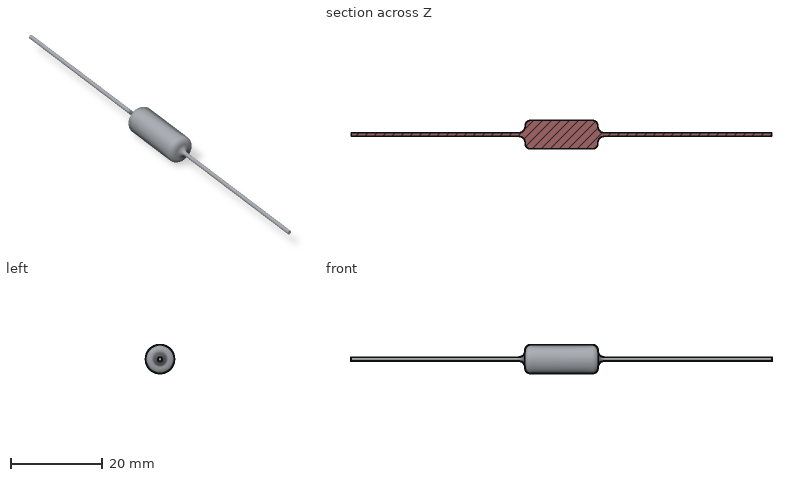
import cadquery as cq

overall_length = 92.1
body_length = 16.0
body_diameter = 6.35
lead_diameter = 0.9
body_edge_radius = 1.3
collar_radius = 1.3

half_length = overall_length / 2
half_body = body_length / 2
body_radius = body_diameter / 2
lead_radius = lead_diameter / 2
collar_end = half_body + collar_radius
flare_radius = lead_radius + collar_radius

profile = (
    cq.Workplane("XZ")
    .moveTo(-half_length, 0)
    .lineTo(-half_length, lead_radius)
    .lineTo(-collar_end, lead_radius)
    .radiusArc((-half_body, flare_radius), -collar_radius)
    .lineTo(-half_body, body_radius - body_edge_radius)
    .radiusArc((-half_body + body_edge_radius, body_radius), body_edge_radius)
    .lineTo(half_body - body_edge_radius, body_radius)
    .radiusArc((half_body, body_radius - body_edge_radius), body_edge_radius)
    .lineTo(half_body, flare_radius)
    .radiusArc((collar_end, lead_radius), -collar_radius)
    .lineTo(half_length, lead_radius)
    .lineTo(half_length, 0)
    .close()
)

result = profile.revolve(360, (0, 0, 0), (1, 0, 0))